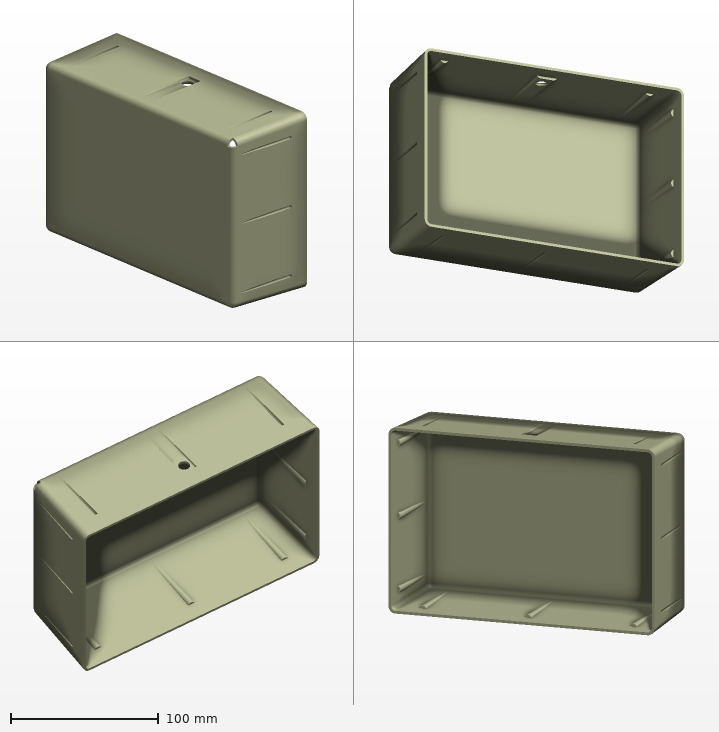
import cadquery as cq
import math

width = 192.5
depth = 67.0
height = 129.0
draft_angle = 2.0
edge_radius = 5.0
wall = 2.0

groove_front = 7.1
groove_back = depth - 14.0
groove_spacing_x = 76.2
groove_spacing_z = 50.8
wide_floor_width = 9.2
groove_radius = 1.05

hole_diameter = 8.0
hole_y = depth - 21.0

draft_slope = math.tan(math.radians(draft_angle))
front_half_width = width / 2 - depth * draft_slope
front_half_height = height / 2 - depth * draft_slope


def drafted_block(inset):
    """Rounded block whose front and side faces lie inset inside the outer faces."""
    side_inset = inset / math.cos(math.radians(draft_angle))
    block = (
        cq.Workplane("XZ", origin=(0, depth, 0))
        .rect(width - 2 * side_inset, height - 2 * side_inset)
        .extrude(depth - inset, taper=draft_angle)
    )
    return block.edges("not >Y").fillet(edge_radius - inset)


def groove(front_half_size, turn, position, floor_width, inset):
    """Round-cornered groove in the wall at the given turn about Y, grown by inset.

    Its floor is parallel to Y and meets the drafted wall at groove_front. A floor width
    of zero gives a fully round bottom.
    """
    corner_radius = groove_radius + inset
    corner_z = front_half_size + groove_front * draft_slope + groove_radius
    floor_z = corner_z - corner_radius
    top_z = front_half_size + depth * draft_slope
    half_floor = floor_width / 2
    half_top = half_floor + corner_radius
    profile = (
        cq.Workplane("XZ", origin=(position, groove_back + inset, 0))
        .moveTo(-half_top, top_z)
        .lineTo(-half_top, corner_z)
        .tangentArcPoint((-half_floor, floor_z), relative=False)
    )
    if floor_width > 0:
        profile = profile.lineTo(half_floor, floor_z)
    profile = profile.tangentArcPoint((half_top, corner_z), relative=False).lineTo(half_top, top_z)
    return profile.close().extrude(groove_back + inset).rotate((0, 0, 0), (0, 1, 0), turn)


def cut_grooves(block, inset):
    """Cut the grooves of all four walls, grown by inset."""
    top, bottom = 0, 180
    for step in (-1, 0, 1):
        x = step * groove_spacing_x
        top_floor_width = wide_floor_width if step == 0 else 0
        block = block.cut(groove(front_half_height, top, x, top_floor_width, inset))
        block = block.cut(groove(front_half_height, bottom, x, 0, inset))
        for side in (90, 270):
            block = block.cut(groove(front_half_width, side, step * groove_spacing_z, 0, inset))
    return block


outside = cut_grooves(drafted_block(0), 0)
cavity = cut_grooves(drafted_block(wall), wall)
tray = outside.cut(cavity)

hole = cq.Workplane("XY", origin=(0, hole_y, 0)).circle(hole_diameter / 2).extrude(height)
tray = tray.cut(hole)

corner_setback = edge_radius * (1 - draft_slope)
corner_opening = (
    cq.Workplane("XY")
    .box(2 * edge_radius, edge_radius, 2 * edge_radius, centered=False)
    .translate((front_half_width - corner_setback, 0, front_half_height - corner_setback))
)
result = tray.cut(corner_opening)